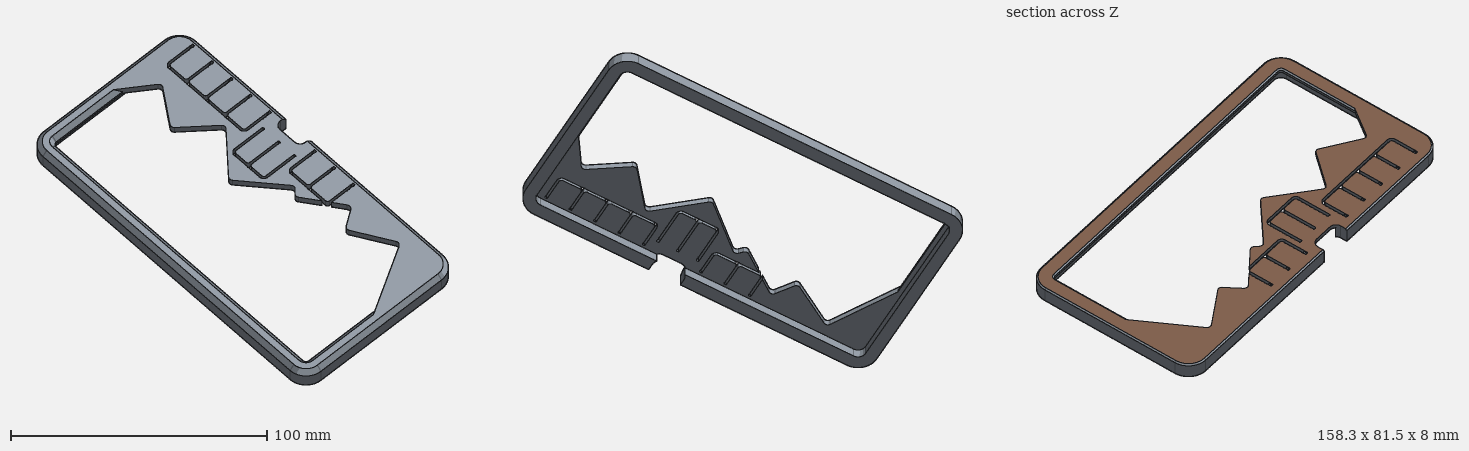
import cadquery as cq
LENGTH = 158.3
WIDTH = 81.5
HEIGHT = 8.0
CORNER_RADIUS = 8.5
CHAMFER = 2.0
RAIL_WIDTH = 7.0

RECESS_INSET = 5.0

PANEL_THICKNESS = 3.2
RIDGE_RADIUS = 1.7
RIDGE_END_Y = 0.3
RIDGE_POINTS = [
    (-63.3, 16.1),
    (-45.6, 4.1),
    (-31.8, 20.7),
    (-11.7, 3.5),
    (8.0, 20.5),
    (11.7, 16.8),
    (30.0, 30.0),
    (36.7, 20.4),
    (56.0, 31.8),
]

NOTCH_X = -11.7
NOTCH_WIDTH = 14.2
NOTCH_DEPTH = 6.0
NOTCH_RADIUS = 3.0

SLOT_WIDTH = 1.03
SLOT_CORNER_RADIUS = 2.2
TAB_CORNER_RADIUS = SLOT_CORNER_RADIUS - SLOT_WIDTH
REAR_TAB_WIDTH = 10.0
REAR_TAB_FRONT_Y = 24.2
REAR_SLOT_INSET = 6.2
LEFT_GROUP_X = -46.7
LEFT_GROUP_TABS = 4
RIGHT_GROUP_X = 12.0
RIGHT_GROUP_TABS = 2
MIDDLE_TAB_WIDTH = 7.9
MIDDLE_TAB_FRONT_Y = 14.2
MIDDLE_SLOT_REAR_Y = 30.5
MIDDLE_GROUP_TABS = 2

RUNOUT_INSET = 2.8
RUNOUT_DEPTH = CHAMFER

REAR_Y = WIDTH / 2
PANEL_BOTTOM = HEIGHT - PANEL_THICKNESS
RAIL_TOP_INSET = RAIL_WIDTH - CHAMFER


def inset_block(inset, height):
    """Rounded block whose sides lie a constant distance inside the outer outline."""
    block = cq.Workplane().rect(LENGTH - 2 * inset, WIDTH - 2 * inset).extrude(height)
    return block.edges("|Z").fillet(CORNER_RADIUS - inset)


def make_frame():
    """Rectangular ring with chamfered top edges and a recess in its underside."""
    ring = inset_block(0, HEIGHT).cut(inset_block(RAIL_WIDTH, HEIGHT))
    ring = ring.faces(">Z").edges().chamfer(CHAMFER)
    return ring.cut(inset_block(RECESS_INSET, PANEL_BOTTOM))


def make_panel():
    """Plate between the rear rail and the rounded mountain ridge line."""
    side_x = LENGTH / 2 - RAIL_TOP_INSET
    panel_rear_y = REAR_Y - CORNER_RADIUS / 2
    front_line = [(-side_x, RIDGE_END_Y), *RIDGE_POINTS, (side_x, RIDGE_END_Y)]
    outline = [*front_line, (side_x, panel_rear_y), (-side_x, panel_rear_y)]
    panel = cq.Workplane(origin=(0, 0, PANEL_BOTTOM)).polyline(outline).close().extrude(PANEL_THICKNESS)
    for x, y in RIDGE_POINTS:
        ridge_edge = cq.selectors.NearestToPointSelector((x, y, PANEL_BOTTOM + PANEL_THICKNESS / 2))
        panel = panel.edges("|Z").edges(ridge_edge).fillet(RIDGE_RADIUS)
    return panel


def make_notch():
    """Cutter for the notch, rounded at its two inner corners."""
    notch = cq.Workplane().center(NOTCH_X, REAR_Y - NOTCH_DEPTH / 2)
    notch = notch.rect(NOTCH_WIDTH, NOTCH_DEPTH).extrude(HEIGHT)
    return notch.edges("|Z and <Y").fillet(NOTCH_RADIUS)


def make_tab_slots(center_x, tab_count, tab_width, tab_front_y, slot_rear_y):
    """Cutter for the slots on both sides and at the front of a row of tabs."""
    pitch = tab_width + SLOT_WIDTH
    span = tab_count * pitch + SLOT_WIDTH
    slot_front_y = tab_front_y - SLOT_WIDTH
    slots = cq.Workplane().center(center_x, (slot_front_y + slot_rear_y) / 2)
    slots = slots.rect(span, slot_rear_y - slot_front_y).extrude(HEIGHT)
    slots = slots.edges("|Z and <Y").fillet(SLOT_CORNER_RADIUS)
    for i in range(tab_count):
        tab_x = center_x + (i - (tab_count - 1) / 2) * pitch
        tab = cq.Workplane().center(tab_x, (tab_front_y + slot_rear_y) / 2)
        tab = tab.rect(tab_width, slot_rear_y - tab_front_y).extrude(HEIGHT)
        slots = slots.cut(tab.edges("|Z and <Y").fillet(TAB_CORNER_RADIUS))
    return slots


def make_slot_runouts(center_x, tab_count, slot_rear_y):
    """Cutters that carry the rear slots on over the rail, ending in a 45 degree ramp."""
    ramp_top_y = REAR_Y - RUNOUT_INSET
    floor_z = HEIGHT - RUNOUT_DEPTH
    profile = [
        (slot_rear_y, floor_z),
        (ramp_top_y - RUNOUT_DEPTH, floor_z),
        (ramp_top_y, HEIGHT),
        (slot_rear_y, HEIGHT),
    ]
    pitch = REAR_TAB_WIDTH + SLOT_WIDTH
    runouts = cq.Workplane("YZ")
    for i in range(tab_count + 1):
        slot_x = center_x + (i - tab_count / 2) * pitch
        runout = cq.Workplane("YZ", origin=(slot_x, 0, 0)).polyline(profile).close()
        runouts = runouts.add(runout.extrude(SLOT_WIDTH / 2, both=True))
    return runouts.combine()


result = make_frame().union(make_panel()).cut(make_notch())

rear_slot_end_y = REAR_Y - REAR_SLOT_INSET
for group_x, group_tabs in [(LEFT_GROUP_X, LEFT_GROUP_TABS), (RIGHT_GROUP_X, RIGHT_GROUP_TABS)]:
    result = result.cut(
        make_tab_slots(group_x, group_tabs, REAR_TAB_WIDTH, REAR_TAB_FRONT_Y, rear_slot_end_y)
    )
    result = result.cut(make_slot_runouts(group_x, group_tabs, rear_slot_end_y))

result = result.cut(
    make_tab_slots(NOTCH_X, MIDDLE_GROUP_TABS, MIDDLE_TAB_WIDTH, MIDDLE_TAB_FRONT_Y, MIDDLE_SLOT_REAR_Y)
)